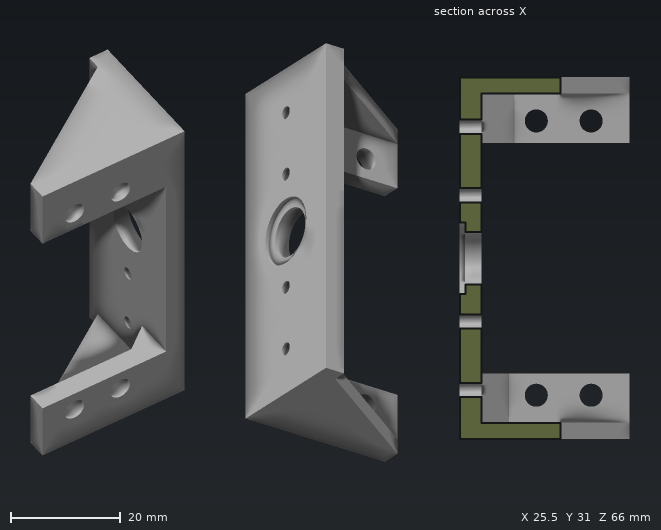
import cadquery as cq

width = 25.5
depth = 31.0
height = 66.0
wall = 4.0
flange_thickness = 3.0
arm_height = 12.0
flange_setback = 2.77

brace_width = 4.0
upper_brace_depth = 6.0
lower_brace_depth = 5.0

bore_diameter = 9.5
recess_diameter = 13.0
recess_depth = 1.0
screw_diameter = 2.5
screw_offsets = (11.5, 24.0)
arm_hole_diameter = 4.2
arm_hole_distances = (14.0, 24.0)
arm_hole_inset = 8.0

plate_front = -wall
arm_inner_x = width - wall


def prism(points, z_bottom, thickness):
    """Extrude an XY outline upwards from z_bottom."""
    return cq.Workplane("XY").workplane(offset=z_bottom).polyline(points).close().extrude(thickness)


def back_plate():
    """Upright plate with its back face on y = 0."""
    return cq.Workplane("XY").box(width, wall, height, centered=False).translate((0, -wall, 0))


def flange(z_bottom):
    """Tapered end flange joining the plate to the tip of a side arm."""
    outline = [
        (flange_setback, 0),
        (flange_setback, plate_front),
        (arm_inner_x, -depth),
        (width, -depth),
        (width, 0),
    ]
    return prism(outline, z_bottom, flange_thickness)


def braced_arm(z_bottom, brace_depth):
    """Side arm with a triangular brace in its corner with the plate."""
    outline = [
        (arm_inner_x - brace_width, 0),
        (arm_inner_x - brace_width, plate_front),
        (arm_inner_x, plate_front - brace_depth),
        (arm_inner_x, -depth),
        (width, -depth),
        (width, 0),
    ]
    return prism(outline, z_bottom, arm_height)


def plate_hole(z, diameter, hole_depth=wall):
    """Cutter from the back face towards -Y, on the plate's vertical centre line."""
    return cq.Workplane("XZ", origin=(width / 2, 0, z)).circle(diameter / 2).extrude(hole_depth)


def arm_hole(distance, z):
    """Cutter along X through a side arm."""
    return cq.Workplane("YZ", origin=(arm_inner_x, -distance, z)).circle(arm_hole_diameter / 2).extrude(wall)


body = back_plate()
body = body.union(flange(0))
body = body.union(flange(height - flange_thickness))
body = body.union(braced_arm(0, lower_brace_depth))
body = body.union(braced_arm(height - arm_height, upper_brace_depth))

body = body.cut(plate_hole(height / 2, bore_diameter))
body = body.cut(plate_hole(height / 2, recess_diameter, recess_depth))
for offset in screw_offsets:
    for side in (-1, 1):
        body = body.cut(plate_hole(height / 2 + side * offset, screw_diameter))

for z in (arm_hole_inset, height - arm_hole_inset):
    for distance in arm_hole_distances:
        body = body.cut(arm_hole(distance, z))

result = body